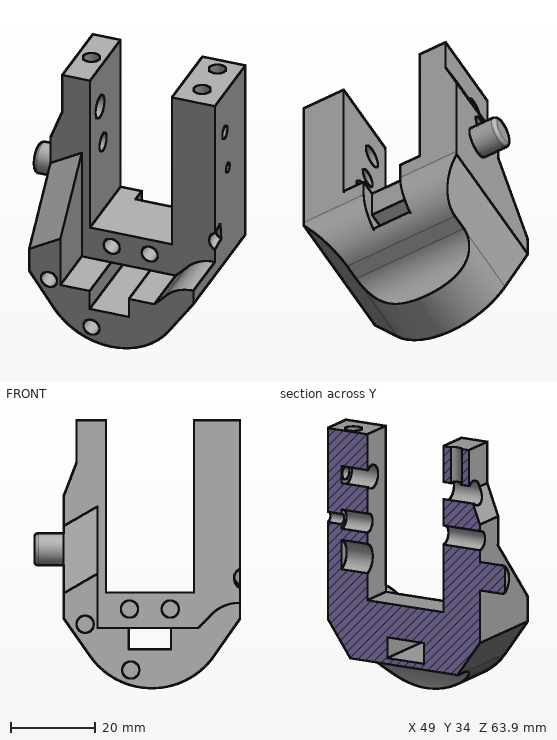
import cadquery as cq
import math

body_width = 42.0
body_depth = 34.0
arm_depth = 20.0
arm_top = 41.0
middle_x = body_width / 2

left_arm_outer_x = 3.0
left_arm_inner_x = 10.1
right_arm_inner_x = 31.0
shoulder_top_z = 30.8
shoulder_bottom_z = 23.0

belly_radius = 18.0
belly_bottom_z = -22.86
belly_corner_z = -6.25
belly_center_z = belly_bottom_z + belly_radius

underside_z = -15.1
rear_corner_radius = 10.0
cove_radius = underside_z - belly_bottom_z
cove_front_y = -22.0

cheek_width = 8.0
cheek_top_z = 20.4
cheek_slope_height = 16.0
cheek_bevel_angle = 30.0
recess_floor_z = -8.5
recess_slope_x = 32.0
lip_start_x = 34.5
lip_start_z = -6.0
lip_top_z = -2.5
lip_end_x = 41.75

channel_width = 10.0
channel_center_x = 20.5
channel_bottom_z = -13.5
rear_notch_depth = 4.0

pin_radius = 3.85
pin_length = 7.01
pin_y = -10.0
pin_z = 10.25
pin_edge_radius = 1.0

stepped_bores = [
    (-13.45, 30.0, 5.75, 3.3),
    (-11.45, 19.0, 4.6, 2.4),
]
bore_end_x = 38.2

small_hole_diameter = 4.1
top_hole_depth = 10.0
right_top_hole_x = 36.4
top_holes = [
    ((left_arm_outer_x + left_arm_inner_x) / 2, -10.0),
    (right_top_hole_x, -4.0),
    (right_top_hole_x, -14.0),
]
front_hole_depth = 8.0
floor_hole_z = -4.0
floor_hole_spacing = 9.7
lower_front_holes = [(5.1, -7.6), (15.95, -18.5)]

side_notch_x = 43.05
side_notch_z = 3.3
side_notch_radius = 2.5
side_notch_depth = 4.0
side_notch_lead = 1.0
side_notch_tilt = 8.0


def box(x_range, y_range, z_range):
    """Axis-aligned box between the given limits."""
    return (
        cq.Workplane("XY")
        .box(x_range[1] - x_range[0], y_range[1] - y_range[0], z_range[1] - z_range[0], centered=False)
        .translate((x_range[0], y_range[0], z_range[0]))
    )


def bore_along_x(y, z, diameter, start_x, end_x):
    return cq.Workplane("YZ", origin=(start_x, y, z)).circle(diameter / 2).extrude(end_x - start_x)


def hole_from_front(x, z, diameter, face_y, depth):
    return cq.Workplane("XZ", origin=(x, face_y, z)).circle(diameter / 2).extrude(-depth)


def side_notch():
    """Blind round hole, tilted upwards as it goes in; it also starts ahead of the arm face."""
    tilt = math.radians(side_notch_tilt)
    inward = cq.Vector(0, math.cos(tilt), math.sin(tilt))
    mouth = cq.Vector(side_notch_x, -arm_depth, side_notch_z)
    start = mouth - inward * side_notch_lead
    return cq.Workplane(
        cq.Solid.makeCylinder(side_notch_radius, side_notch_lead + side_notch_depth, start, inward)
    )


def fork_body():
    """Front outline with both arms and the belly, swept over the full depth."""
    drop = belly_corner_z - belly_center_z
    corner_distance = math.hypot(middle_x, drop)
    corner_angle = math.atan2(drop, -middle_x) % (2 * math.pi)
    tangent_angle = corner_angle + math.acos(belly_radius / corner_distance)
    tangent_offset = belly_radius * math.cos(tangent_angle)
    tangent_z = belly_center_z + belly_radius * math.sin(tangent_angle)
    return (
        cq.Workplane("XZ")
        .moveTo(0, belly_corner_z)
        .lineTo(0, shoulder_bottom_z)
        .lineTo(left_arm_outer_x, shoulder_top_z)
        .lineTo(left_arm_outer_x, arm_top)
        .lineTo(left_arm_inner_x, arm_top)
        .lineTo(left_arm_inner_x, 0)
        .lineTo(right_arm_inner_x, 0)
        .lineTo(right_arm_inner_x, arm_top)
        .lineTo(body_width, arm_top)
        .lineTo(body_width, belly_corner_z)
        .lineTo(middle_x - tangent_offset, tangent_z)
        .threePointArc((middle_x, belly_bottom_z), (middle_x + tangent_offset, tangent_z))
        .close()
        .extrude(body_depth)
    )


def side_envelope():
    """Full-height side outline with a rounded rear corner and a cove underneath."""
    corner_y = -rear_corner_radius
    corner_z = underside_z + rear_corner_radius
    cove_y = cove_front_y + cove_radius
    diagonal = math.sqrt(0.5)
    return (
        cq.Workplane("YZ")
        .moveTo(0, arm_top)
        .lineTo(0, corner_z)
        .threePointArc(
            (corner_y + rear_corner_radius * diagonal, corner_z - rear_corner_radius * diagonal),
            (corner_y, underside_z),
        )
        .lineTo(cove_y, underside_z)
        .threePointArc(
            (cove_y - cove_radius * diagonal, belly_bottom_z + cove_radius * diagonal),
            (cove_front_y, belly_bottom_z),
        )
        .lineTo(-body_depth, belly_bottom_z)
        .lineTo(-body_depth, arm_top)
        .close()
        .extrude(body_width)
    )


def front_recess():
    """Space in front of the arms, to the right of the cheek and above the lip."""
    run = lip_end_x - lip_start_x
    rise = lip_top_z - lip_start_z
    lip_radius = (run**2 + rise**2) / (2 * rise)
    half_angle = math.asin(run / lip_radius) / 2
    lip_middle = (
        lip_end_x - lip_radius * math.sin(half_angle),
        lip_top_z - lip_radius * (1 - math.cos(half_angle)),
    )
    return (
        cq.Workplane("XZ", origin=(0, -arm_depth, 0))
        .moveTo(cheek_width, arm_top)
        .lineTo(cheek_width, recess_floor_z)
        .lineTo(recess_slope_x, recess_floor_z)
        .lineTo(lip_start_x, lip_start_z)
        .threePointArc(lip_middle, (lip_end_x, lip_top_z))
        .lineTo(body_width, lip_top_z)
        .lineTo(body_width, arm_top)
        .close()
        .extrude(body_depth - arm_depth)
    )


def cheek_top_cut():
    """Space above the cheek; its floor slopes down to the front and to the left."""
    left_drop = cheek_width * math.tan(math.radians(cheek_bevel_angle))

    def section(x, rear_z):
        return cq.Wire.makePolygon(
            [
                cq.Vector(x, -arm_depth, rear_z),
                cq.Vector(x, -body_depth, rear_z - cheek_slope_height),
                cq.Vector(x, -body_depth, arm_top),
                cq.Vector(x, -arm_depth, arm_top),
            ],
            close=True,
        )

    left = section(0, cheek_top_z - left_drop)
    right = section(cheek_width, cheek_top_z)
    return cq.Workplane(cq.Solid.makeLoft([left, right], True))


def channel_and_rear_notch():
    x_range = (channel_center_x - channel_width / 2, channel_center_x + channel_width / 2)
    channel = box(x_range, (-body_depth, 0), (channel_bottom_z, recess_floor_z))
    notch = box(x_range, (-rear_notch_depth, 0), (belly_bottom_z, arm_top))
    return channel.union(notch)


def pin():
    return (
        cq.Workplane("YZ", origin=(0, pin_y, pin_z))
        .circle(pin_radius)
        .extrude(-pin_length)
        .faces("<X")
        .edges()
        .fillet(pin_edge_radius)
    )


def drill_cross_bores(part):
    for y, z, diameter, outlet_diameter in stepped_bores:
        part = part.cut(bore_along_x(y, z, diameter, 0, bore_end_x))
        part = part.cut(bore_along_x(y, z, outlet_diameter, bore_end_x, body_width))
    return part.cut(bore_along_x(pin_y, pin_z, 2 * pin_radius, right_arm_inner_x, bore_end_x))


def drill_small_holes(part):
    for x, y in top_holes:
        hole = cq.Workplane("XY", origin=(x, y, arm_top)).circle(small_hole_diameter / 2)
        part = part.cut(hole.extrude(-top_hole_depth))
    for side in (-1, 1):
        x = channel_center_x + side * floor_hole_spacing / 2
        part = part.cut(hole_from_front(x, floor_hole_z, small_hole_diameter, -arm_depth, front_hole_depth))
    for x, z in lower_front_holes:
        part = part.cut(hole_from_front(x, z, small_hole_diameter, -body_depth, front_hole_depth))
    return part


result = fork_body().intersect(side_envelope())
result = result.cut(front_recess()).cut(cheek_top_cut()).cut(channel_and_rear_notch())
result = drill_cross_bores(result)
result = drill_small_holes(result)
result = result.cut(side_notch())
result = result.union(pin())